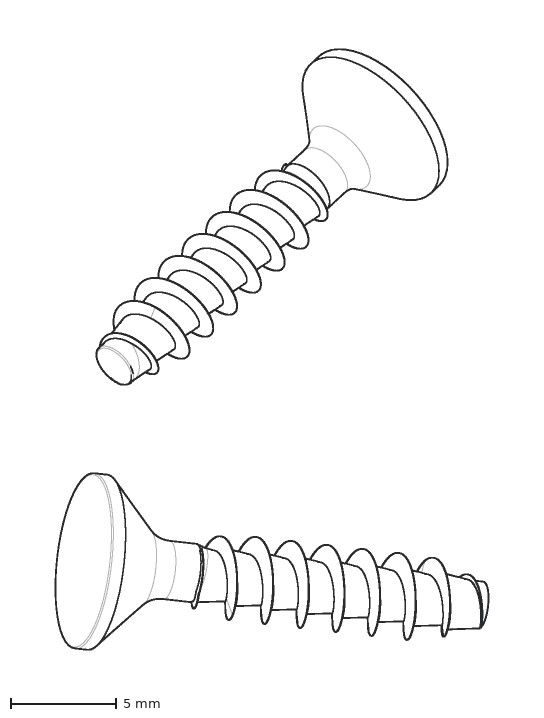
import math
import cadquery as cq


LENGTH = 20.0
HEAD_RADIUS = 4.2
RIM_THICKNESS = 0.7
SHANK_RADIUS = 1.4
NECK_FILLET = 1.6
EDGE_FILLET = 0.07
SHANK_END = 5.5
CONE_ANGLE = math.radians(45)

CORE_RADIUS = 1.13
SHOULDER_LENGTH = 0.8

PITCH = 1.79
CREST_RADIUS = 2.04
CREST_WIDTH = 0.03
FLANK_ANGLE = math.radians(17)
PHASE_DEPTH = 6.1
ROOT_RADIUS = 0.9
START_RADIUS = 1.63
LEAD_IN_ANGLE = 90.0
LEAD_IN_RADIUS = 1.52
FULL_START = 7.4
FULL_END = 17.25
FADE_END = LENGTH
FADE_RADIUS = 1.11

LAND_RADIUS = 1.387
LAND_SLOPE = 0.136
LAND_LENGTH = PITCH - 0.05
LAND_FULL_END = 18.18
LAND_FADE_END = 19.05

POINTS_PER_TURN = 16
MIN_STEPS = 4


def angle_at(depth):
    """Angle in degrees, from +X towards +Z, of the crest at a depth."""
    return (depth - PHASE_DEPTH) / PITCH * 360


def body_of_revolution():
    """Head, neck, shank and core, with the rim and the tip rounded."""
    neck_drop = NECK_FILLET * (1 - math.cos(CONE_ANGLE))
    neck_radius = SHANK_RADIUS + neck_drop
    neck_start = RIM_THICKNESS + (HEAD_RADIUS - neck_radius) / math.tan(CONE_ANGLE)
    neck_end = neck_start + NECK_FILLET * math.sin(CONE_ANGLE)
    middle_radius = SHANK_RADIUS + NECK_FILLET * (1 - math.cos(CONE_ANGLE / 2))
    middle_depth = neck_end - NECK_FILLET * math.sin(CONE_ANGLE / 2)
    return (
        cq.Workplane("XY")
        .lineTo(HEAD_RADIUS, 0)
        .lineTo(HEAD_RADIUS, -RIM_THICKNESS)
        .lineTo(neck_radius, -neck_start)
        .threePointArc((middle_radius, -middle_depth), (SHANK_RADIUS, -neck_end))
        .lineTo(SHANK_RADIUS, -SHANK_END)
        .lineTo(CORE_RADIUS, -SHANK_END - SHOULDER_LENGTH)
        .lineTo(CORE_RADIUS, -LENGTH)
        .lineTo(0, -LENGTH)
        .close()
        .revolve(360, (0, 0, 0), (0, 1, 0))
        .faces("<Y or >Y")
        .edges()
        .fillet(EDGE_FILLET)
    )


def thread_section(crest_radius):
    """Corners (radius, depth offset) of the thread for one crest radius."""
    half_crest = CREST_WIDTH / 2
    half_root = half_crest + (crest_radius - ROOT_RADIUS) * math.tan(FLANK_ANGLE)
    return [
        (ROOT_RADIUS, -half_root),
        (crest_radius, -half_crest),
        (crest_radius, half_crest),
        (ROOT_RADIUS, half_root),
    ]


def land_section(land_radius):
    """Corners (radius, depth offset) of the land for one starting radius."""
    return [
        (ROOT_RADIUS, 0),
        (land_radius, 0),
        (land_radius - LAND_SLOPE * LAND_LENGTH, LAND_LENGTH),
        (ROOT_RADIUS, LAND_LENGTH),
    ]


def helical_solid(section, stations):
    """Solid that winds a section through stations (angle, depth, section radius)."""
    faces = []
    for start, end in zip(stations, stations[1:]):
        steps = max(MIN_STEPS, math.ceil(abs(end[0] - start[0]) / 360 * POINTS_PER_TURN))
        rails = [[] for _ in section(start[2])]
        for step in range(steps + 1):
            share = step / steps
            angle, depth, size = (a + (b - a) * share for a, b in zip(start, end))
            turn = math.radians(angle)
            for rail, (radius, offset) in zip(rails, section(size)):
                point = cq.Vector(radius * math.cos(turn), -depth - offset, radius * math.sin(turn))
                rail.append(point)
        edges = [cq.Edge.makeSpline(rail) for rail in rails]
        for edge, following in zip(edges, edges[1:] + edges[:1]):
            faces.append(cq.Face.makeRuledSurface(edge, following))
        if start is stations[0]:
            faces.append(end_cap([rail[0] for rail in rails]))
    faces.append(end_cap([rail[-1] for rail in rails]))
    return cq.Workplane(cq.Solid.makeSolid(cq.Shell.makeShell(faces)).fix())


def end_cap(corners):
    return cq.Face.makeFromWires(cq.Wire.makePolygon(corners, close=True))


def thread():
    start_angle = angle_at(SHANK_END)
    return helical_solid(
        thread_section,
        [
            (start_angle - LEAD_IN_ANGLE, SHANK_END, LEAD_IN_RADIUS),
            (start_angle, SHANK_END, START_RADIUS),
            (angle_at(FULL_START), FULL_START, CREST_RADIUS),
            (angle_at(FULL_END), FULL_END, CREST_RADIUS),
            (angle_at(FADE_END), FADE_END, FADE_RADIUS),
        ],
    )


def land():
    land_start = SHANK_END - PITCH
    return helical_solid(
        land_section,
        [
            (angle_at(land_start), land_start, LAND_RADIUS),
            (angle_at(LAND_FULL_END), LAND_FULL_END, LAND_RADIUS),
            (angle_at(LAND_FADE_END), LAND_FADE_END, CORE_RADIUS),
        ],
    )


def space_beyond_tip():
    """Cylinder that trims the helical bodies flush with the tip face."""
    return cq.Workplane("XZ", origin=(0, -LENGTH, 0)).circle(HEAD_RADIUS).extrude(2 * PITCH)


result = body_of_revolution().union(land()).union(thread()).cut(space_beyond_tip())